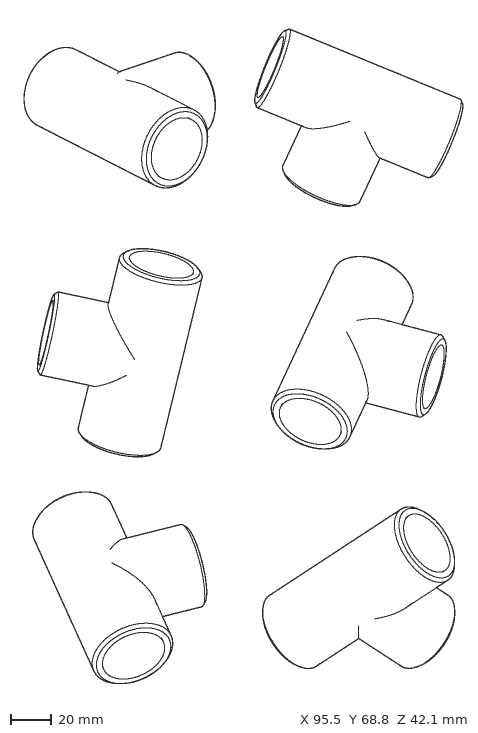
import cadquery as cq

run_length = 95.5
branch_length = run_length / 2
outer_diameter = 42.1
bore_diameter = 32.5
end_chamfer = 1.6


def run_cylinder(diameter):
    """Cylinder along X, centred on the origin."""
    return cq.Workplane("YZ").circle(diameter / 2).extrude(run_length / 2, both=True)


def branch_cylinder(diameter):
    """Cylinder from the run axis to the branch end along +Y."""
    return cq.Workplane("XZ").circle(diameter / 2).extrude(-branch_length)


run_body = run_cylinder(outer_diameter).faces("<X or >X").edges().chamfer(end_chamfer)
branch_body = branch_cylinder(outer_diameter).faces(">Y").edges().chamfer(end_chamfer)
body = run_body.union(branch_body)

bores = run_cylinder(bore_diameter).union(branch_cylinder(bore_diameter))

result = body.cut(bores)